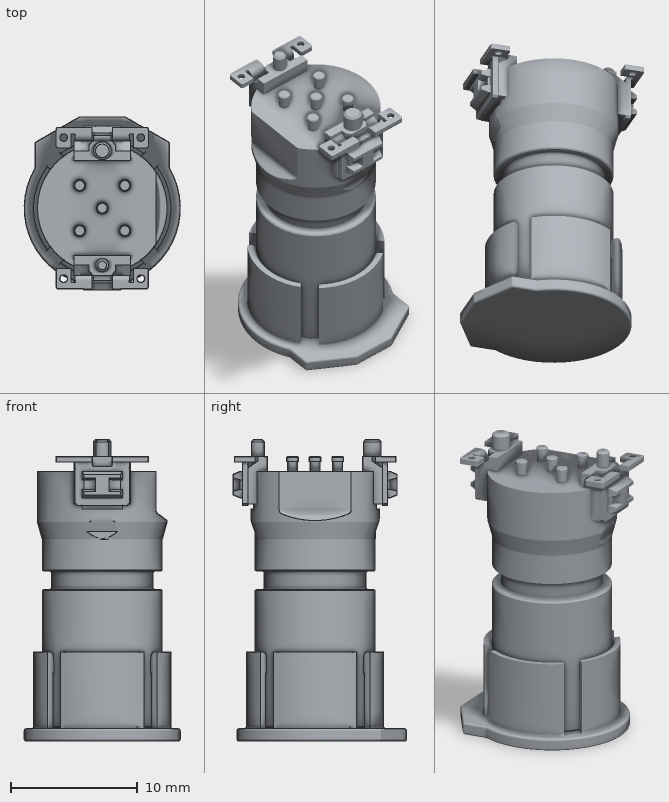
import cadquery as cq
import math

TOTAL_HEIGHT = 23.75
FLANGE_THICKNESS = 0.97

FLANGE_RADIUS = 6.15
FLANGE_EDGE_FILLET = 0.17
LUG_CORNER_FILLET = 0.2
LUG_HALF_WIDTH = 5.3
LUG_REACH = 7.2
LUG_TIP_HALF_WIDTH = 1.78
LUG_SLOPE_DEG = 30
FINGER_RADIUS = 5.42
FINGER_TOP = 7.0
FINGER_BORE_RADIUS = 4.82
FINGER_FOOT_FILLET = 0.17
FINGER_SLOT_WIDTH = 1.47
BEAD_HEIGHT = 1.73
BEAD_LEAD_IN = 0.3

BARREL_RADIUS = 4.73
BARREL_FOOT_CHAMFER = 0.17
GROOVE_RADIUS = 4.01
GROOVE_BOTTOM = 11.95
GROOVE_TOP = 13.4
GROOVE_ROOT_FILLET = 0.15
GROOVE_LIP_CHAMFER = 0.1
CONE_BOTTOM = 15.9
CONE_TOP = 17.27
HEAD_RADIUS = 5.1
HEAD_TOP = 21.25
PAD_TOP = 22.42

KEY_FLAT_X = 4.25
KEY_FLAT_BOTTOM = 18.0
KEY_RAMP_BOTTOM = 17.38
KEY_ROOT_FILLET = 0.35

RELIEF_LOW_Y = 4.75
RELIEF_LOW_TOP = 16.53
RELIEF_MID_Y = 5.05
RELIEF_MID_BOTTOM = 17.6
RELIEF_BLEND_Y = 4.99
RELIEF_BLEND_BOTTOM = 17.22
RELIEF_BLEND_RADIUS = 1.15
RELIEF_HIGH_Y = 4.85
RELIEF_HIGH_BOTTOM = 18.29

PAD_HALF_WIDTH = 2.23
PAD_INNER_Y = 3.75
PAD_SLOPE_START_Y = 4.5
PAD_OUTER_Y = 5.3
PAD_SLOPE_TOP = 22.09
PAD_SLOPE_BOTTOM = 21.55
PAD_BOTTOM = 18.67
PLATFORM_HALF_WIDTH = 1.05
PLATFORM_TIP_HALF_WIDTH = 0.75
PLATFORM_CORNER_Y = 4.95

SHEET_THICKNESS = 0.43
SHEET_HALF_WIDTH = 2.14
SHEET_BOTTOM = 18.57
SHEET_CORNER_CHAMFER = 0.17
SHEET_BEND_RADIUS = 0.48
WING_HALF_LENGTH = 3.63
WING_INNER_Y = 4.75
WING_OUTER_Y = 6.36
WING_CORNER_RADIUS = 0.17
WING_HOLE_DIAMETER = 0.6
WING_HOLE_X = 3.05
WING_SLIT_OUTER_X = 2.45
WING_SLIT_END_Y = 5.85
WINDOW_HALF_WIDTH = 0.8
WINDOW_BOTTOM = 21.65
WINDOW_CHAMFER = 0.12

LATCH_BASE_HALF_WIDTH = 1.62
LATCH_TIP_HALF_WIDTH = 1.45
LATCH_BASE_DEPTH = 0.2
LATCH_OUTER_Y = 6.45
LATCH_MIDDLE_Z = 20.2
LATCH_BASE_HEIGHT = 2.1
LATCH_TIP_HEIGHT = 1.62
LATCH_POCKET_BASE_HEIGHT = 0.75
LATCH_POCKET_TIP_HEIGHT = 1.05
LATCH_WEB_FILLET = 0.38
LATCH_WEB_HALF_WIDTH = 0.55

POST_Y = 4.51
FRONT_POST_DIAMETER = 1.02
BACK_POST_DIAMETER = 1.4
POST_CHAMFER = 0.17
CONTACT_OFFSET = 1.78
CONTACT_NECK_DIAMETER = 0.78
CONTACT_HEAD_DIAMETER = 0.93
CONTACT_HEAD_HEIGHT = 0.4
CONTACT_CHAMFER = 0.07


def cylinder(radius, bottom, top):
    return cq.Workplane("XY", origin=(0, 0, bottom)).circle(radius).extrude(top - bottom)


def block(x_min, x_max, y_min, y_max, z_min, z_max):
    size = (x_max - x_min, y_max - y_min, z_max - z_min)
    return cq.Workplane("XY", origin=(x_min, y_min, z_min)).box(*size, centered=False)


def extrude_along_x(points, half_width):
    """Solid with a (y, z) outline, centred on x = 0."""
    return cq.Workplane("YZ").polyline(points).close().extrude(half_width, both=True)


def make_flange():
    shoulder_y = LUG_REACH - (LUG_HALF_WIDTH - LUG_TIP_HALF_WIDTH) * math.tan(math.radians(LUG_SLOPE_DEG))
    lug_outline = [
        (-LUG_HALF_WIDTH, 0),
        (-LUG_HALF_WIDTH, shoulder_y),
        (-LUG_TIP_HALF_WIDTH, LUG_REACH),
        (LUG_TIP_HALF_WIDTH, LUG_REACH),
        (LUG_HALF_WIDTH, shoulder_y),
        (LUG_HALF_WIDTH, 0),
    ]
    lug = cq.Workplane("XY").polyline(lug_outline).close().extrude(FLANGE_THICKNESS)
    disc = cylinder(FLANGE_RADIUS, 0, FLANGE_THICKNESS)
    flange = disc.union(lug).edges("|Z and (not <Y)").fillet(LUG_CORNER_FILLET)
    return flange.faces("<Z or >Z").edges().fillet(FLANGE_EDGE_FILLET)


def make_fingers():
    """Ring with a gripping bead inside its top, parted into four fingers by diagonal slots."""
    bead_bottom = FINGER_TOP - BEAD_HEIGHT
    bead_step = FINGER_BORE_RADIUS - BARREL_RADIUS
    lead_in_height = 2 * BEAD_LEAD_IN
    ring = (
        cq.Workplane("XZ")
        .moveTo(FINGER_BORE_RADIUS, FLANGE_THICKNESS)
        .lineTo(FINGER_RADIUS + FINGER_FOOT_FILLET, FLANGE_THICKNESS)
        .radiusArc((FINGER_RADIUS, FLANGE_THICKNESS + FINGER_FOOT_FILLET), FINGER_FOOT_FILLET)
        .lineTo(FINGER_RADIUS, FINGER_TOP)
        .lineTo(BARREL_RADIUS + BEAD_LEAD_IN, FINGER_TOP)
        .ellipseArc(BEAD_LEAD_IN, lead_in_height, 90, 180, sense=1)
        .lineTo(BARREL_RADIUS, bead_bottom + bead_step)
        .lineTo(FINGER_BORE_RADIUS, bead_bottom)
        .close()
        .revolve(360, (0, 0, 0), (0, 1, 0))
    )
    slot = block(
        -TOTAL_HEIGHT / 2, TOTAL_HEIGHT / 2,
        -FINGER_SLOT_WIDTH / 2, FINGER_SLOT_WIDTH / 2,
        FLANGE_THICKNESS, FINGER_TOP,
    )
    for angle in (45, 135):
        ring = ring.cut(slot.rotate((0, 0, 0), (0, 0, 1), angle))
    return ring


def make_cap():
    return make_flange().union(make_fingers())


def make_barrel():
    lip_radius = BARREL_RADIUS - GROOVE_LIP_CHAMFER
    root_radius = GROOVE_RADIUS + GROOVE_ROOT_FILLET
    return (
        cq.Workplane("XZ")
        .moveTo(0, FLANGE_THICKNESS)
        .lineTo(BARREL_RADIUS - BARREL_FOOT_CHAMFER, FLANGE_THICKNESS)
        .lineTo(BARREL_RADIUS, FLANGE_THICKNESS + BARREL_FOOT_CHAMFER)
        .lineTo(BARREL_RADIUS, GROOVE_BOTTOM - GROOVE_LIP_CHAMFER)
        .lineTo(lip_radius, GROOVE_BOTTOM)
        .lineTo(root_radius, GROOVE_BOTTOM)
        .radiusArc((GROOVE_RADIUS, GROOVE_BOTTOM + GROOVE_ROOT_FILLET), GROOVE_ROOT_FILLET)
        .lineTo(GROOVE_RADIUS, GROOVE_TOP - GROOVE_ROOT_FILLET)
        .radiusArc((root_radius, GROOVE_TOP), GROOVE_ROOT_FILLET)
        .lineTo(lip_radius, GROOVE_TOP)
        .lineTo(BARREL_RADIUS, GROOVE_TOP + GROOVE_LIP_CHAMFER)
        .lineTo(BARREL_RADIUS, CONE_BOTTOM)
        .lineTo(HEAD_RADIUS, CONE_TOP)
        .lineTo(HEAD_RADIUS, HEAD_TOP)
        .lineTo(0, HEAD_TOP)
        .close()
        .revolve(360, (0, 0, 0), (0, 1, 0))
    )


def make_key_cut():
    """Removes a flat on the +X side of the head that ends in an outward ramp."""
    outline = [
        (KEY_FLAT_X, HEAD_TOP),
        (KEY_FLAT_X, KEY_FLAT_BOTTOM),
        (HEAD_RADIUS, KEY_RAMP_BOTTOM),
        (HEAD_RADIUS, HEAD_TOP),
    ]
    cut = cq.Workplane("XZ").polyline(outline).close().extrude(HEAD_RADIUS, both=True)
    root_edge = cq.selectors.NearestToPointSelector((KEY_FLAT_X, 0, KEY_FLAT_BOTTOM))
    return cut.edges(root_edge).fillet(KEY_ROOT_FILLET)


def make_relief_cut():
    """Removes stepped flats on the -Y side of the cone and head."""
    clear_y = -PAD_OUTER_Y
    return (
        cq.Workplane("YZ")
        .moveTo(clear_y, CONE_BOTTOM)
        .lineTo(-RELIEF_LOW_Y, CONE_BOTTOM)
        .lineTo(-RELIEF_LOW_Y, RELIEF_LOW_TOP)
        .lineTo(-RELIEF_BLEND_Y, RELIEF_BLEND_BOTTOM)
        .radiusArc((-RELIEF_MID_Y, RELIEF_MID_BOTTOM), RELIEF_BLEND_RADIUS)
        .lineTo(-RELIEF_MID_Y, RELIEF_HIGH_BOTTOM)
        .lineTo(-RELIEF_HIGH_Y, RELIEF_HIGH_BOTTOM)
        .lineTo(-RELIEF_HIGH_Y, HEAD_TOP)
        .lineTo(clear_y, HEAD_TOP)
        .close()
        .extrude(HEAD_RADIUS, both=True)
    )


def make_pad():
    """Block that caps the -Y edge of the head, with a raised platform in its middle."""
    outline = [
        (-PAD_INNER_Y, PAD_BOTTOM),
        (-PAD_INNER_Y, PAD_TOP),
        (-PAD_SLOPE_START_Y, PAD_TOP),
        (-PAD_SLOPE_START_Y, PAD_SLOPE_TOP),
        (-PAD_OUTER_Y, PAD_SLOPE_BOTTOM),
        (-PAD_OUTER_Y, PAD_BOTTOM),
    ]
    platform_outline = [
        (-PLATFORM_HALF_WIDTH, -PAD_INNER_Y),
        (-PLATFORM_HALF_WIDTH, -PLATFORM_CORNER_Y),
        (-PLATFORM_TIP_HALF_WIDTH, -PAD_OUTER_Y),
        (PLATFORM_TIP_HALF_WIDTH, -PAD_OUTER_Y),
        (PLATFORM_HALF_WIDTH, -PLATFORM_CORNER_Y),
        (PLATFORM_HALF_WIDTH, -PAD_INNER_Y),
    ]
    platform = cq.Workplane("XY", origin=(0, 0, HEAD_TOP)).polyline(platform_outline).close()
    return extrude_along_x(outline, PAD_HALF_WIDTH).union(platform.extrude(PAD_TOP - HEAD_TOP))


def make_shield():
    """Bent sheet: an upright plate on the pad and a horizontal strip with a wing at each end."""
    plate_outer_y = -PAD_OUTER_Y - SHEET_THICKNESS
    wing_bottom = PAD_TOP - SHEET_THICKNESS
    plate = block(-SHEET_HALF_WIDTH, SHEET_HALF_WIDTH, plate_outer_y, -PAD_OUTER_Y, SHEET_BOTTOM, PAD_TOP)
    plate = plate.edges("|Y and <Z").chamfer(SHEET_CORNER_CHAMFER)
    strip = block(-SHEET_HALF_WIDTH, SHEET_HALF_WIDTH, -WING_OUTER_Y, -PAD_OUTER_Y, wing_bottom, PAD_TOP)
    bent = plate.union(strip).edges("|X and >Y and >Z").fillet(SHEET_BEND_RADIUS)

    wings = block(-WING_HALF_LENGTH, WING_HALF_LENGTH, -WING_OUTER_Y, -WING_INNER_Y, wing_bottom, PAD_TOP)
    wings = wings.edges("|Z").fillet(WING_CORNER_RADIUS)
    gap = block(
        -WING_SLIT_OUTER_X, WING_SLIT_OUTER_X, -WING_SLIT_END_Y, -WING_INNER_Y, wing_bottom, PAD_TOP
    )
    hole_y = -(WING_INNER_Y + WING_OUTER_Y) / 2
    holes = (
        cq.Workplane("XY", origin=(0, hole_y, wing_bottom))
        .pushPoints([(-WING_HOLE_X, 0), (WING_HOLE_X, 0)])
        .circle(WING_HOLE_DIAMETER / 2)
        .extrude(SHEET_THICKNESS)
    )
    window = block(
        -WINDOW_HALF_WIDTH, WINDOW_HALF_WIDTH, -WING_OUTER_Y, -PAD_OUTER_Y, WINDOW_BOTTOM, PAD_TOP
    )
    window = window.edges("|Y and <Z").chamfer(WINDOW_CHAMFER)
    return wings.cut(gap).cut(holes).union(bent).cut(window)


def make_latch():
    """Tapered boss on the upright plate with a pocket in each end, leaving a middle web."""
    base_y = -PAD_OUTER_Y - SHEET_THICKNESS
    taper_y = base_y - LATCH_BASE_DEPTH
    base = (
        cq.Workplane("XZ", origin=(0, base_y, LATCH_MIDDLE_Z))
        .rect(2 * LATCH_BASE_HALF_WIDTH, LATCH_BASE_HEIGHT)
        .extrude(LATCH_BASE_DEPTH)
    )
    tip = (
        cq.Workplane("XZ", origin=(0, taper_y, LATCH_MIDDLE_Z))
        .rect(2 * LATCH_BASE_HALF_WIDTH, LATCH_BASE_HEIGHT)
        .workplane(offset=LATCH_OUTER_Y + taper_y)
        .rect(2 * LATCH_TIP_HALF_WIDTH, LATCH_TIP_HEIGHT)
        .loft(ruled=True)
    )
    pocket = make_latch_pocket(base_y, taper_y)
    return base.union(tip).cut(pocket).cut(pocket.mirror("YZ"))


def make_latch_pocket(base_y, floor_y):
    """Pocket in the +X end of the latch: filleted against the web and wider in Z towards its mouth."""
    plan = (
        cq.Workplane("XY", origin=(0, 0, LATCH_MIDDLE_Z - LATCH_BASE_HEIGHT / 2))
        .moveTo(LATCH_WEB_HALF_WIDTH, -LATCH_OUTER_Y)
        .lineTo(LATCH_WEB_HALF_WIDTH, floor_y - LATCH_WEB_FILLET)
        .radiusArc((LATCH_WEB_HALF_WIDTH + LATCH_WEB_FILLET, floor_y), LATCH_WEB_FILLET)
        .lineTo(LATCH_TIP_HALF_WIDTH, floor_y)
        .lineTo(LATCH_TIP_HALF_WIDTH, base_y)
        .lineTo(LATCH_BASE_HALF_WIDTH, base_y)
        .lineTo(LATCH_BASE_HALF_WIDTH, -LATCH_OUTER_Y)
        .close()
        .extrude(LATCH_BASE_HEIGHT)
    )
    base_half = LATCH_POCKET_BASE_HEIGHT / 2
    tip_half = LATCH_POCKET_TIP_HEIGHT / 2
    wedge_outline = [
        (base_y, LATCH_MIDDLE_Z - base_half),
        (base_y, LATCH_MIDDLE_Z + base_half),
        (floor_y, LATCH_MIDDLE_Z + base_half),
        (-LATCH_OUTER_Y, LATCH_MIDDLE_Z + tip_half),
        (-LATCH_OUTER_Y, LATCH_MIDDLE_Z - tip_half),
        (floor_y, LATCH_MIDDLE_Z - base_half),
    ]
    return plan.intersect(extrude_along_x(wedge_outline, LATCH_BASE_HALF_WIDTH))


def make_post(diameter, y):
    post = cylinder(diameter / 2, PAD_TOP, TOTAL_HEIGHT).faces(">Z").chamfer(POST_CHAMFER)
    return post.translate((0, y, 0))


def make_contact(x, y):
    neck = cylinder(CONTACT_NECK_DIAMETER / 2, HEAD_TOP, PAD_TOP)
    head = cylinder(CONTACT_HEAD_DIAMETER / 2, PAD_TOP - CONTACT_HEAD_HEIGHT, PAD_TOP)
    head = head.faces(">Z").chamfer(CONTACT_CHAMFER)
    return neck.union(head).translate((x, y, 0))


def make_connector():
    relief = make_relief_cut()
    barrel = make_barrel().cut(make_key_cut()).cut(relief).cut(relief.mirror("XZ"))
    mount = make_pad().union(make_shield()).union(make_latch())
    connector = barrel.union(mount).union(mount.mirror("XZ"))
    connector = connector.union(make_post(FRONT_POST_DIAMETER, -POST_Y))
    connector = connector.union(make_post(BACK_POST_DIAMETER, POST_Y))
    contact_places = [(0, 0)]
    for x in (-CONTACT_OFFSET, CONTACT_OFFSET):
        for y in (-CONTACT_OFFSET, CONTACT_OFFSET):
            contact_places.append((x, y))
    for x, y in contact_places:
        connector = connector.union(make_contact(x, y))
    return connector


cap = make_cap().solids()
connector = make_connector().solids()

result = cq.Compound.makeCompound([cap.val(), connector.val()])